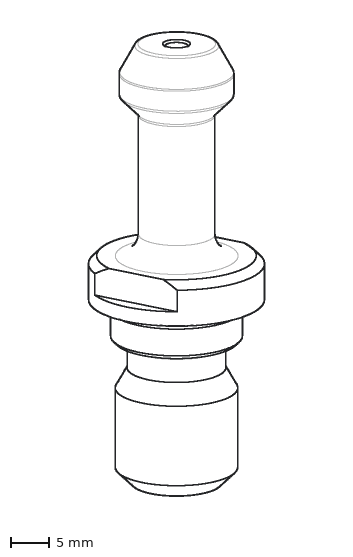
import cadquery as cq

head_radius = 15 / 2
head_top_radius = 5.35
neck_radius = 10.0 / 2
collar_radius = 23.0 / 2
groove_radius = 16.5 / 2
pilot_radius = 17.2 / 2
relief_radius = 12.9 / 2
shank_radius = 16.0 / 2
bore_radius = 3 / 2

total_height = 60
head_rim_top = 56.05
head_rim_bottom = 53.0
collar_top = 31.0
collar_bottom = 25.0
flat_bottom = 27
pilot_top = 23.7
pilot_bottom = 19.5
relief_bottom = 15.7
shank_top = 12.95

head_edge_fillet = 0.5
neck_fillet = 3
collar_chamfer = 1.1
pilot_chamfer = 0.55
relief_fillet = 0.6
shank_chamfer = 2.1
bore_chamfer = 0.3
flat_spacing = 19.0


def turned_body():
    """Revolve the half outline of the stud, drawn from the bottom up in radius and height."""
    neck_top = head_rim_bottom - (head_radius - neck_radius)
    groove_bottom = pilot_top + (pilot_radius - groove_radius)
    outline = (
        cq.Workplane("XZ")
        .moveTo(0, 0)
        .lineTo(shank_radius - shank_chamfer, 0)
        .lineTo(shank_radius, shank_chamfer)
        .lineTo(shank_radius, shank_top)
        .lineTo(relief_radius, relief_bottom)
        .lineTo(relief_radius, pilot_bottom - relief_fillet)
        .radiusArc((relief_radius + relief_fillet, pilot_bottom), relief_fillet)
        .lineTo(pilot_radius - pilot_chamfer, pilot_bottom)
        .lineTo(pilot_radius, pilot_bottom + pilot_chamfer)
        .lineTo(pilot_radius, pilot_top)
        .lineTo(groove_radius, groove_bottom)
        .lineTo(groove_radius, collar_bottom)
        .lineTo(collar_radius, collar_bottom)
        .lineTo(collar_radius, collar_top - collar_chamfer)
        .lineTo(collar_radius - collar_chamfer, collar_top)
        .lineTo(neck_radius + neck_fillet, collar_top)
        .radiusArc((neck_radius, collar_top + neck_fillet), neck_fillet)
        .lineTo(neck_radius, neck_top)
        .lineTo(head_radius, head_rim_bottom)
        .lineTo(head_radius, head_rim_top)
        .lineTo(head_top_radius, total_height)
        .lineTo(0, total_height)
        .close()
    )
    return outline.revolve(360, (0, 0, 0), (0, 1, 0))


def round_head(body):
    """Soften the top edge, both rim edges and the underside corner of the head."""
    lowest_edge = head_rim_bottom - (head_radius - neck_radius) - head_edge_fillet
    head_zone = cq.selectors.BoxSelector(
        (-collar_radius, -collar_radius, lowest_edge),
        (collar_radius, collar_radius, total_height + head_edge_fillet),
    )
    return body.edges("%CIRCLE").edges(head_zone).fillet(head_edge_fillet)


def cut_wrench_flats(body):
    """Cut two parallel flats into the upper part of the collar."""
    depth = collar_radius - flat_spacing / 2
    for side in (-1, 1):
        cutter = cq.Workplane("XY").box(
            2 * collar_radius, depth, collar_top - flat_bottom, centered=(True, True, False)
        )
        offset = side * (flat_spacing + depth) / 2
        body = body.cut(cutter.translate((0, offset, flat_bottom)))
    return body


def drill_bore(body):
    """Drill the through bore and chamfer its upper mouth."""
    return (
        body.faces(">Z")
        .workplane(origin=(0, 0, total_height))
        .cskHole(2 * bore_radius, 2 * (bore_radius + bore_chamfer), 90)
    )


result = drill_bore(cut_wrench_flats(round_head(turned_body())))